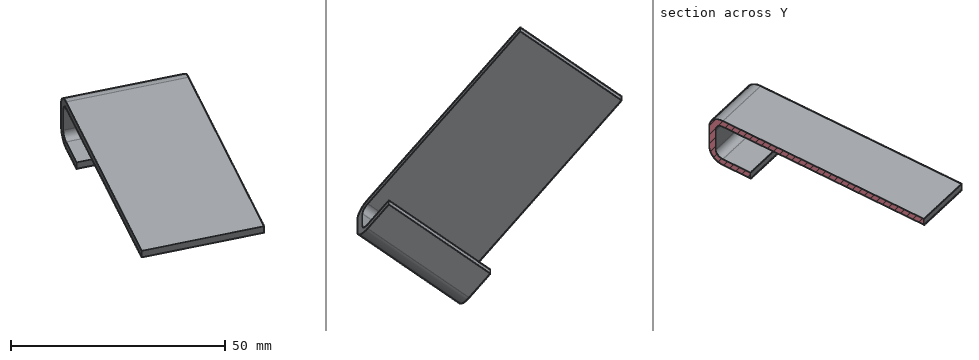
import cadquery as cq

length = 62.0
width = 30.0
height = 14.0

thickness = 2.0
inner_radius = thickness
outer_radius = inner_radius + thickness

lip_length = 12.0


def flange_block(x_start, x_end, z_bottom, z_top):
    """Block across the full width, placed by its X and Z limits."""
    return (
        cq.Workplane("XY")
        .box(x_end - x_start, width, z_top - z_bottom, centered=(False, True, False))
        .translate((x_start, 0, z_bottom))
    )


upper = flange_block(0, length, height / 2, height).edges("|Y and <X and >Z").fillet(outer_radius)
lower = flange_block(0, lip_length, 0, height / 2).edges("|Y and <X and <Z").fillet(outer_radius)

gap = (
    flange_block(thickness, length, thickness, height - thickness)
    .edges("|Y and <X")
    .fillet(inner_radius)
)

result = upper.union(lower).cut(gap)